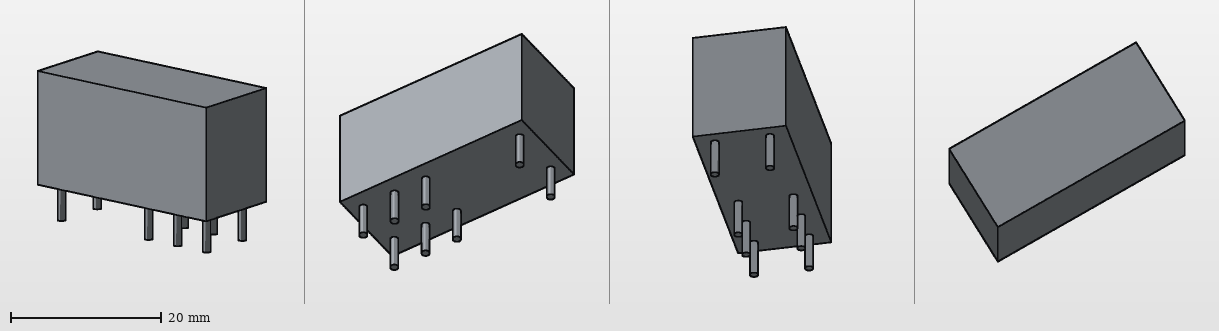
import cadquery as cq

housing_length = 29.0
housing_width = 12.7
total_height = 20.8
pin_length = 5.08
housing_height = total_height - pin_length

pin_diameter = 1.1
pin_pitch = 5.0
row_spacing = 7.5
pitches_end_to_end = 5
group_size = 3
end_pin_x = pitches_end_to_end * pin_pitch / 2
pin_columns = [-end_pin_x] + [end_pin_x - step * pin_pitch for step in range(group_size)]
pin_rows = [-row_spacing / 2, row_spacing / 2]


def make_housing():
    """Block standing on the plane Z = 0, centred in X and Y."""
    return cq.Workplane("XY").box(
        housing_length, housing_width, housing_height, centered=(True, True, False)
    )


def make_pin(x, y):
    """Round pin hanging down from the underside of the housing."""
    return cq.Workplane("XY").center(x, y).circle(pin_diameter / 2).extrude(-pin_length)


housing = make_housing()
pins = [make_pin(x, y) for y in pin_rows for x in pin_columns]

result = cq.Compound.makeCompound([housing.val(), *[pin.val() for pin in pins]])